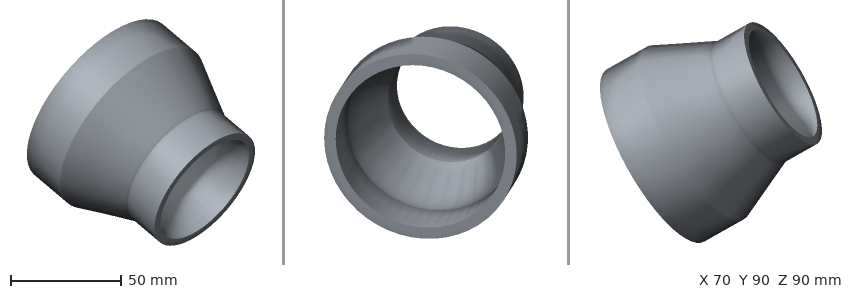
import cadquery as cq

total_length = 70.0
large_length = 22.0
small_length = 18.0
large_outer_diameter = 90.0
large_bore_diameter = 79.2
small_outer_diameter = 63.0
small_bore_diameter = 55.4

cone_end = total_length - small_length


def stepped_cone(large_diameter, small_diameter):
    """Solid of revolution: large cylinder, cone, small cylinder."""
    large_radius = large_diameter / 2
    small_radius = small_diameter / 2
    return (
        cq.Workplane("XY")
        .moveTo(0, 0)
        .lineTo(0, large_radius)
        .lineTo(large_length, large_radius)
        .lineTo(cone_end, small_radius)
        .lineTo(total_length, small_radius)
        .lineTo(total_length, 0)
        .close()
        .revolve(360, (0, 0, 0), (1, 0, 0))
    )


body = stepped_cone(large_outer_diameter, small_outer_diameter)
bore = stepped_cone(large_bore_diameter, small_bore_diameter)
result = body.cut(bore)